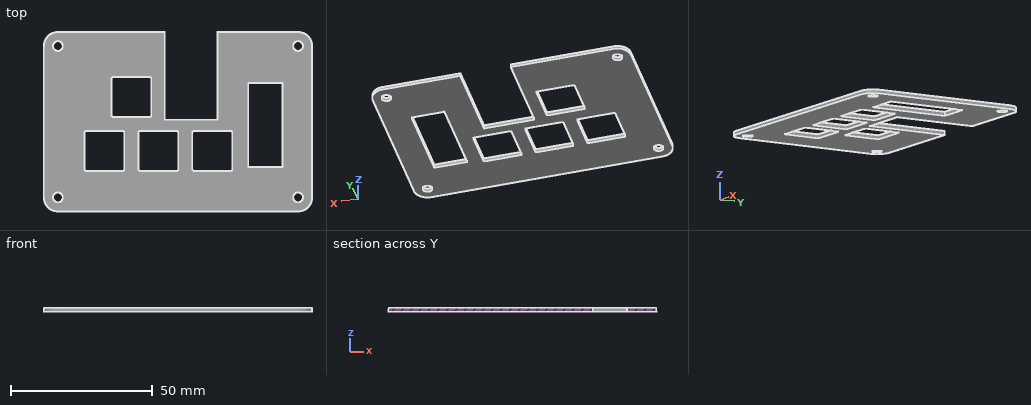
import cadquery as cq

LENGTH = 94.82
WIDTH = 63.46
THICKNESS = 1.5
CORNER_RADIUS = 5.0
TOP_EDGE_RADIUS = 0.5

HOLE_DIAMETER = 3.4
HOLE_X = LENGTH / 2 - CORNER_RADIUS
HOLE_Y = WIDTH / 2 - CORNER_RADIUS

KEY_SIZE = 14.0
KEY_PITCH = 19.05
KEY_CORNER_RADIUS = 0.5
MIDDLE_KEY_X = -6.94
LOWER_ROW_Y = -10.31

NOTCH_WIDTH = 18.5
NOTCH_X = 4.65
NOTCH_FLOOR_Y = 0.73

WINDOW_WIDTH = 12.05
WINDOW_HEIGHT = 29.55
WINDOW_X = 30.85
WINDOW_Y = -1.15


def through_box(size_x, size_y, x, y):
    """Cutter that spans the plate thickness, centred on (x, y)."""
    return cq.Workplane("XY").center(x, y).rect(size_x, size_y).extrude(THICKNESS)


def make_plate():
    plate = cq.Workplane("XY").rect(LENGTH, WIDTH).extrude(THICKNESS)
    plate = plate.edges("|Z").fillet(CORNER_RADIUS)
    return plate.faces(">Z").edges().fillet(TOP_EDGE_RADIUS)


def make_screw_holes():
    corners = [(sx * HOLE_X, sy * HOLE_Y) for sx in (-1, 1) for sy in (-1, 1)]
    return cq.Workplane("XY").pushPoints(corners).circle(HOLE_DIAMETER / 2).extrude(THICKNESS)


def make_key_cutout(x, y):
    return through_box(KEY_SIZE, KEY_SIZE, x, y).edges("|Z").fillet(KEY_CORNER_RADIUS)


def make_notch():
    depth = WIDTH / 2 - NOTCH_FLOOR_Y
    return through_box(NOTCH_WIDTH, depth, NOTCH_X, NOTCH_FLOOR_Y + depth / 2)


key_centers = [(MIDDLE_KEY_X + i * KEY_PITCH, LOWER_ROW_Y) for i in (-1, 0, 1)]
key_centers.append((MIDDLE_KEY_X - KEY_PITCH / 2, LOWER_ROW_Y + KEY_PITCH))

result = make_plate().cut(make_screw_holes()).cut(make_notch())
result = result.cut(through_box(WINDOW_WIDTH, WINDOW_HEIGHT, WINDOW_X, WINDOW_Y))
for key_x, key_y in key_centers:
    result = result.cut(make_key_cutout(key_x, key_y))